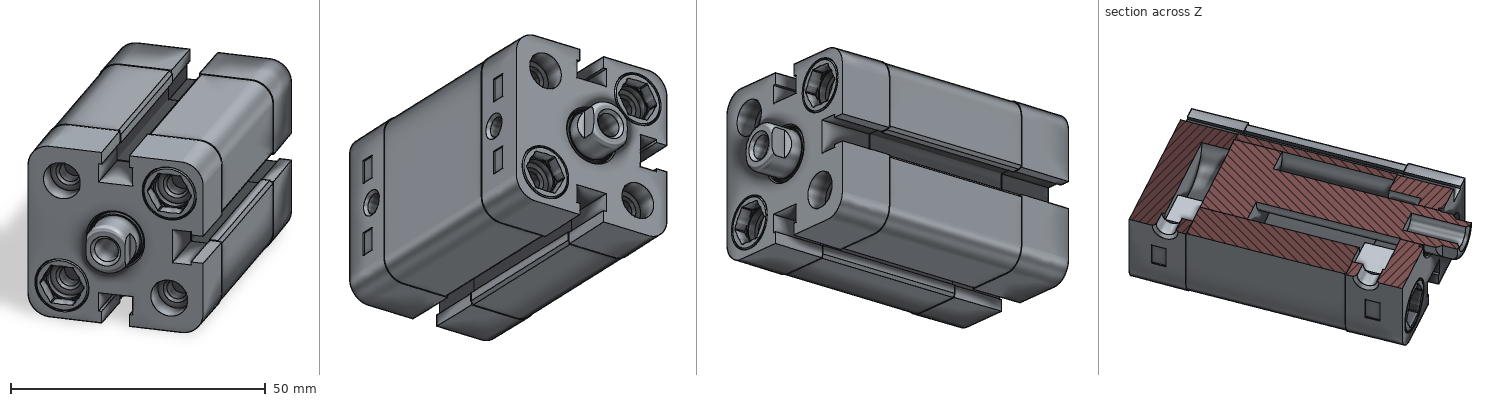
import cadquery as cq
import math


overcut = 0.65

total_length = 63.6
rod_projection = 6.5
housing_length = total_length - rod_projection
cap_length = 11.9
tube_length = housing_length - 2 * cap_length

cap_width = 36.3
cap_draft = 0.5
tube_width = 36.0
corner_centre = 13.55

slot_width = 7.0
slot_mouth_depth = 2.4
slot_angles = [0, 90, -90]
cap_mouth_width = 5.7
cap_slot_floor = 11.7
tube_mouth_width = 5.35
tube_slot_floor = 11.9
tube_mouth_chamfer = 0.65
tube_slot_fillet = 0.25

fixing_offset = 11.05
screw_places = [(fixing_offset, fixing_offset), (-fixing_offset, -fixing_offset)]
hole_places = [(-fixing_offset, fixing_offset), (fixing_offset, -fixing_offset)]
thread_bore = 4.15
thread_chamfer_diameter = 5.3
thread_length = 3.8
hole_diameter = 7.6
hole_depth = 4.45
head_diameter = 10.9
head_gap_diameter = 11.1
head_gap_depth = 0.65
head_chamfer = 0.25
socket_flats = 7.95
socket_corner_diameter = 9.0
socket_bore = 8.15
socket_hex_depth = 2.55
socket_bore_depth = 2.85

port_distance = 7.6
port_rim_diameter = 5.5
port_depth = 4.0
passage_height = 3.1
chamber_diameter = 14.0
front_chamber_depth = 6.75
rear_chamber_depth = 5.7
label_distance = 6.25
label_offset = 7.9
label_length = 3.05
label_height = 4.95
label_depth = 0.2

bore_diameter = 20.0
piston_length = 10.0
rod_diameter = 10.0
rod_tip_fillet = 1.2
rod_flat_width = 8.0
rod_flat_length = 3.25
rod_thread_bore = 4.9
rod_thread_chamfer_diameter = 6.25
rod_thread_depth = 12.0
guide_rim_diameter = 12.0
guide_recess_diameter = 11.4
guide_recess_depth = 0.95
wiper_tip_diameter = 10.5
wiper_root_diameter = 10.9
wiper_setback = 0.25


def cylinder(diameter, y_start, length, x=0, z=0):
    return cq.Workplane(
        cq.Solid.makeCylinder(diameter / 2, length, cq.Vector(x, y_start, z), cq.Vector(0, 1, 0))
    )


def cone(start_diameter, end_diameter, y_start, length, x=0, z=0):
    return cq.Workplane(
        cq.Solid.makeCone(
            start_diameter / 2, end_diameter / 2, length, cq.Vector(x, y_start, z), cq.Vector(0, 1, 0)
        )
    )


def chamfered_bore(diameter, rim_diameter, y_start, length, x=0, z=0):
    """Bore along +Y with a 45 degree chamfer at its start."""
    chamfer = (rim_diameter - diameter) / 2
    return cylinder(diameter, y_start, length, x, z).union(
        cone(rim_diameter, diameter, y_start, chamfer, x, z)
    )


def rounded_bar(width, y_start, length, draft=0):
    """Square bar with rounded edges, drawn at y_start and extruded towards -Y."""
    corner_radius = width / 2 - corner_centre
    outline = cq.Sketch().rect(width, width).vertices().fillet(corner_radius)
    return (
        cq.Workplane("XZ", origin=(0, y_start, 0))
        .placeSketch(outline)
        .extrude(length, taper=draft)
    )


def cut_t_slots(body, floor, mouth_width, mouth_chamfer=0, floor_fillet=0):
    """Cut the T-slots, drawn on the +X side and turned about the rod axis."""
    side = tube_width / 2
    lip_underside = side - slot_mouth_depth
    half_mouth = mouth_width / 2
    half_outline = [(floor, slot_width / 2), (lip_underside, slot_width / 2), (lip_underside, half_mouth)]
    if mouth_chamfer:
        half_outline.append((side - mouth_chamfer, half_mouth))
        half_outline.append((side + overcut, half_mouth + mouth_chamfer + overcut))
    else:
        half_outline.append((side + overcut, half_mouth))
    other_half = [(x, -z) for x, z in reversed(half_outline)]
    slot = (
        cq.Workplane("XZ", origin=(0, housing_length, 0))
        .polyline(half_outline + other_half)
        .close()
        .extrude(housing_length)
    )
    if floor_fillet:
        slot = slot.edges("|Y and <X").fillet(floor_fillet)
    for angle in slot_angles:
        body = body.cut(slot.rotate((0, 0, 0), (0, 1, 0), angle))
    return body


def cut_air_port(cap, chamber_depth):
    """Threaded port on the -X side with a flat passage into the chamber."""
    side = -cap_width / 2
    port = chamfered_bore(thread_bore, port_rim_diameter, 0, port_depth)
    port = port.rotate((0, 0, 0), (0, 0, 1), -90).translate((side, port_distance, 0))
    chamber_start = cap_length - chamber_depth
    passage = (
        cq.Workplane("XY")
        .box(-side - port_depth, chamber_depth, passage_height, centered=(False, False, True))
        .translate((side + port_depth, chamber_start, 0))
    )
    chamber = cylinder(chamber_diameter, chamber_start, chamber_depth)
    return cap.cut(port).cut(passage).cut(chamber)


def cut_label_recesses(cap):
    """Shallow rectangular recesses above and below the air port."""
    floor = -tube_width / 2 + label_depth
    for z in (-label_offset, label_offset):
        recess = (
            cq.Workplane("XY")
            .box(overcut, label_length, label_height, centered=(False, True, True))
            .translate((floor - overcut, label_distance, z))
        )
        cap = cap.cut(recess)
    return cap


def make_blank_cap(chamber_depth):
    """Features shared by both caps. The outer end lies at Y = 0."""
    cap = rounded_bar(cap_width, cap_length, cap_length, cap_draft)
    cap = cut_t_slots(cap, cap_slot_floor, cap_mouth_width)
    cap = cut_air_port(cap, chamber_depth)
    return cut_label_recesses(cap)


def cut_fixing_hole(cap, x, z):
    """Plain corner hole with a smaller threaded bore in its floor."""
    cap = cap.cut(cylinder(hole_diameter, 0, hole_depth, x, z))
    return cap.cut(chamfered_bore(thread_bore, thread_chamfer_diameter, hole_depth, thread_length, x, z))


def cut_screw_head(cap, x, z):
    """Screw head around a fixing hole, set off by a ring groove, with a hexagon socket."""
    gap = cylinder(head_gap_diameter, 0, head_gap_depth, x, z)
    head = cylinder(head_diameter, 0, head_gap_depth, x, z).faces("<Y").chamfer(head_chamfer)
    socket_corners = socket_flats / math.cos(math.pi / 6)
    hexagon = (
        cq.Workplane("XZ", origin=(x, socket_hex_depth, z))
        .polygon(6, socket_corners)
        .extrude(socket_hex_depth)
        .intersect(cylinder(socket_corner_diameter, 0, socket_hex_depth, x, z))
    )
    socket = hexagon.union(cylinder(socket_bore, 0, socket_bore_depth, x, z))
    return cap.cut(gap.cut(head)).cut(socket)


def cut_rod_guide(cap):
    """Sliding bore with a chamfered recess, in which a tapered wiper lip surrounds the rod."""
    recess = chamfered_bore(guide_recess_diameter, guide_rim_diameter, 0, guide_recess_depth)
    wiper_length = guide_recess_depth - wiper_setback
    wiper = cone(wiper_tip_diameter, wiper_root_diameter, wiper_setback, wiper_length)
    return cap.cut(recess.cut(wiper)).cut(cylinder(rod_diameter, 0, cap_length))


def make_front_cap():
    cap = make_blank_cap(front_chamber_depth)
    for x, z in screw_places + hole_places:
        cap = cut_fixing_hole(cap, x, z)
    for x, z in screw_places:
        cap = cut_screw_head(cap, x, z)
    return cut_rod_guide(cap)


def make_rear_cap():
    return make_blank_cap(rear_chamber_depth).mirror("XZ").translate((0, housing_length, 0))


def make_tube():
    tube = rounded_bar(tube_width, cap_length + tube_length, tube_length)
    tube = tube.cut(cylinder(bore_diameter, cap_length, tube_length))
    return cut_t_slots(tube, tube_slot_floor, tube_mouth_width, tube_mouth_chamfer, tube_slot_fillet)


def make_rod():
    """Rod with its piston in one piece, drawn back to the rear cap."""
    tip = -rod_projection
    piston_start = cap_length + tube_length - piston_length
    rod = cylinder(rod_diameter, tip, piston_start - tip)
    rod = rod.faces("<Y").edges().fillet(rod_tip_fillet)
    rod = rod.union(cylinder(bore_diameter, piston_start, piston_length))
    half_flat = rod_flat_width / 2
    flat_end = tip + rod_flat_length
    flat_side = (
        cq.Workplane("XY")
        .polyline(
            [
                (half_flat, tip),
                (half_flat, flat_end),
                (rod_diameter / 2, flat_end + rod_diameter / 2 - half_flat),
                (rod_diameter / 2, tip),
            ]
        )
        .close()
        .extrude(rod_diameter / 2, both=True)
    )
    rod = rod.cut(flat_side).cut(flat_side.mirror("YZ"))
    return rod.cut(chamfered_bore(rod_thread_bore, rod_thread_chamfer_diameter, tip, rod_thread_depth))


front_cap = make_front_cap()
tube = make_tube()
rear_cap = make_rear_cap()
rod = make_rod()

result = cq.Compound.makeCompound([front_cap.val(), tube.val(), rear_cap.val(), rod.val()])